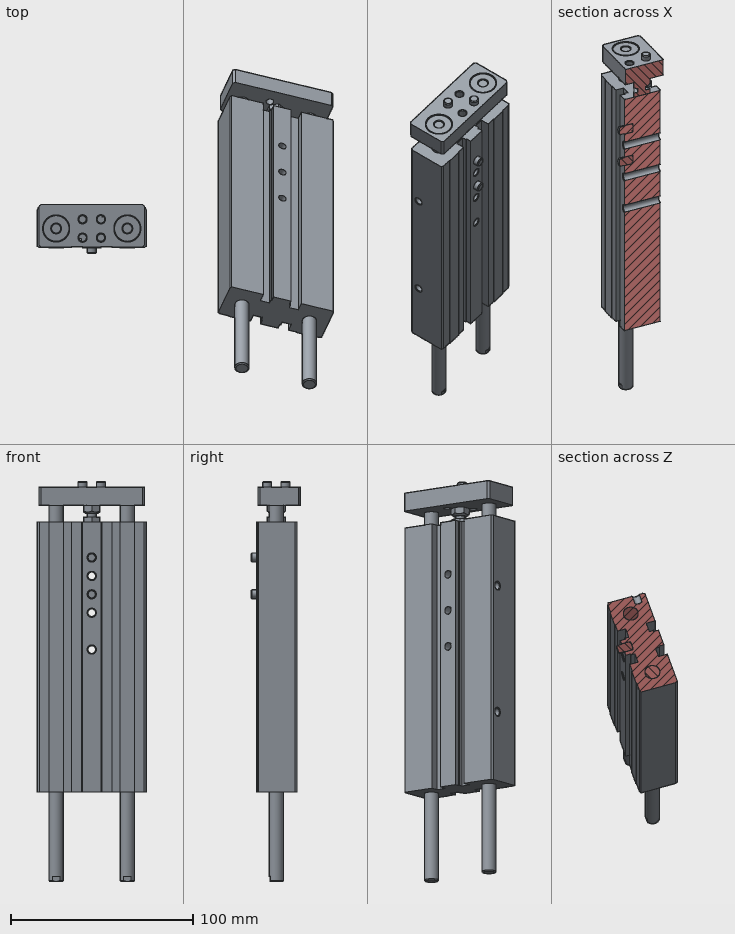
import cadquery as cq
import math

TOTAL_HEIGHT = 219.5
ROD_X = 19.5
ROD_XS = (-ROD_X, ROD_X)
PITCH = 10.0

PIN_DIA = 5.0
PIN_PROUD = 3.0
PIN_SEAT = 5.0
PIN_CHAMFER = 0.55

HOUSING_WIDTH = 60.0
HOUSING_BOTTOM = 49.1
HOUSING_TOP = 197.2
HOUSING_HEIGHT = HOUSING_TOP - HOUSING_BOTTOM
HOUSING_BACK = 11.5
RIB_FACE = -10.8
RIB_RISE = 0.33
HOUSING_FRONT = RIB_FACE + RIB_RISE
CORNER_LONG = 1.3
CORNER_SHORT = 0.61
SIDE_RIB_WIDTH = 8.0
SLOT_INNER = 5.0
SLOT_OUTER = 11.0
SLOT_STEP = 0.7
SLOT_MOUTH_DEPTH = 2.9
SLOT_DEPTH = 5.0

TAP_DIA = 4.2
TAP_CHAMFER = 0.5
TAP_RIM_DIA = TAP_DIA + 2 * TAP_CHAMFER
FIRST_HOLE_DROP = 19.5
FIRST_HOLE_Z = HOUSING_TOP - FIRST_HOLE_DROP
PIN_STEPS = (0, 2)
TAP_STEPS = (1, 3, 5)
PORT_Y = 6.1
PORT_ZS = (87.8, 158.5)
PORT_DEPTH = 5.0
DRILL_POINT_ANGLE = 118.0

PLATE_WIDTH = 58.0
PLATE_THICK = 10.0
PLATE_TOP = TOTAL_HEIGHT - PIN_PROUD
PLATE_BOTTOM = PLATE_TOP - PLATE_THICK
PLATE_BACK = 13.2
PLATE_FRONT = -10.0
PLATE_CHAMFER = 1.0
HEX_FLATS = 8.8
HEX_CORNERS = HEX_FLATS / math.cos(math.pi / 6)
UPPER_HEX_HEIGHT = 4.4
LOWER_HEX_HEIGHT = 2.6
HEX_CHAMFER_DIA = 6.8
HEX_CHAMFER_HEIGHT = 1.3
PISTON_DIA = 5.0

ROD_DIA = 8.0
ROD_CHAMFER = 0.7
HEAD_DIA = 14.0
HEAD_THICK = 5.0
HEAD_RIM_CHAMFER = 0.5
CENTRE_DIA = 5.0
CENTRE_DEPTH = 0.5
FLAT_HEIGHT = 2.9
FLAT_DEPTH = 0.55


def cylinder(x, y, z, diameter, length):
    """Upright cylinder standing on the point (x, y, z)."""
    return cq.Workplane("XY", origin=(x, y, z)).circle(diameter / 2).extrude(length)


def cone(x, y, z, bottom_dia, top_dia, height):
    """Upright cone frustum standing on the point (x, y, z)."""
    solid = cq.Solid.makeCone(bottom_dia / 2, top_dia / 2, height, cq.Vector(x, y, z))
    return cq.Workplane(obj=solid)


def box_between(x0, x1, y0, y1, z0, z1):
    """Box given by its limits along each axis."""
    return cq.Workplane("XY").box(x1 - x0, y1 - y0, z1 - z0, centered=False).translate((x0, y0, z0))


def front_cylinder(z, y, diameter, length):
    """Cylinder on the middle plane that runs from y toward +Y."""
    return cq.Workplane("XZ", origin=(0, y, z)).circle(diameter / 2).extrude(-length)


def make_pin():
    """Dowel pin along +Z with its outer end at z = PIN_PROUD and its hole rim at z = 0."""
    pin = cylinder(0, 0, -PIN_SEAT, PIN_DIA, PIN_SEAT + PIN_PROUD)
    return pin.faces(">Z or <Z").chamfer(PIN_CHAMFER)


def slot_pair(face_y, inward):
    """Two stepped slots beside the middle rib, cut from face_y in the inward Y direction."""
    mouth_y = face_y + inward * SLOT_MOUTH_DEPTH
    floor_y = face_y + inward * SLOT_DEPTH
    right = (
        cq.Workplane("XY", origin=(0, 0, HOUSING_BOTTOM))
        .moveTo(SLOT_INNER, face_y)
        .lineTo(SLOT_INNER, mouth_y)
        .lineTo(SLOT_INNER + SLOT_STEP, mouth_y)
        .lineTo(SLOT_INNER + SLOT_STEP, floor_y)
        .lineTo(SLOT_OUTER, floor_y)
        .lineTo(SLOT_OUTER, face_y)
        .close()
        .extrude(HOUSING_HEIGHT)
    )
    return right.union(right.mirror("YZ"))


def make_housing():
    half = HOUSING_WIDTH / 2
    right_side = [
        (half - CORNER_LONG, HOUSING_FRONT),
        (half, HOUSING_FRONT + CORNER_SHORT),
        (half, HOUSING_BACK - CORNER_LONG),
        (half - CORNER_SHORT, HOUSING_BACK),
    ]
    left_side = [(-x, y) for x, y in reversed(right_side)]
    body = cq.Workplane("XY", origin=(0, 0, HOUSING_BOTTOM))
    body = body.polyline(right_side + left_side).close().extrude(HOUSING_HEIGHT)

    ribs = [(-ROD_X, SIDE_RIB_WIDTH), (0, 2 * SLOT_INNER), (ROD_X, SIDE_RIB_WIDTH)]
    for x, width in ribs:
        x0 = x - width / 2
        body = body.union(box_between(x0, x0 + width, RIB_FACE, 0, HOUSING_BOTTOM, HOUSING_TOP))

    body = body.cut(slot_pair(RIB_FACE, 1)).cut(slot_pair(HOUSING_BACK, -1))

    for x in ROD_XS:
        body = body.cut(cylinder(x, 0, HOUSING_BOTTOM, ROD_DIA, HOUSING_HEIGHT))

    for step in PIN_STEPS:
        body = body.cut(front_cylinder(FIRST_HOLE_Z - step * PITCH, RIB_FACE, PIN_DIA, PIN_SEAT))
    for step in TAP_STEPS:
        z = FIRST_HOLE_Z - step * PITCH
        hole = front_cylinder(z, RIB_FACE, TAP_DIA, HOUSING_BACK - RIB_FACE)
        rim = cone(0, 0, 0, TAP_RIM_DIA, TAP_DIA, TAP_CHAMFER)
        rim = rim.rotate((0, 0, 0), (1, 0, 0), -90).translate((0, RIB_FACE, z))
        body = body.cut(hole).cut(rim)

    point_height = TAP_DIA / 2 / math.tan(math.radians(DRILL_POINT_ANGLE / 2))
    port = cylinder(0, 0, 0, TAP_DIA, PORT_DEPTH)
    port = port.union(cone(0, 0, PORT_DEPTH, TAP_DIA, 0, point_height))
    port = port.union(cone(0, 0, 0, TAP_RIM_DIA, TAP_DIA, TAP_CHAMFER))
    port = port.rotate((0, 0, 0), (0, 1, 0), 90)
    for z in PORT_ZS:
        body = body.cut(port.translate((-half, PORT_Y, z)))
    return body


def hexagon(z, height):
    """Upright hexagonal prism on the middle axis with corners toward +Y and -Y."""
    prism = cq.Workplane("XY").polygon(6, HEX_CORNERS).extrude(height)
    return prism.rotate((0, 0, 0), (0, 0, 1), 90).translate((0, 0, z))


def make_yoke():
    """Yoke plate together with the end of the piston rod that carries it."""
    half = PLATE_WIDTH / 2
    yoke = box_between(-half, half, PLATE_FRONT, PLATE_BACK, PLATE_BOTTOM, PLATE_TOP)
    yoke = yoke.edges("|Z").chamfer(PLATE_CHAMFER)

    rim_dia = HEAD_DIA + 2 * HEAD_RIM_CHAMFER
    for x in ROD_XS:
        yoke = yoke.cut(cylinder(x, 0, PLATE_BOTTOM, ROD_DIA, PLATE_THICK))
        yoke = yoke.cut(cylinder(x, 0, PLATE_TOP - HEAD_THICK, HEAD_DIA, HEAD_THICK))
        yoke = yoke.cut(cone(x, 0, PLATE_TOP - HEAD_RIM_CHAMFER, HEAD_DIA, rim_dia, HEAD_RIM_CHAMFER))

    for x in (-PITCH / 2, PITCH / 2):
        yoke = yoke.cut(cylinder(x, -x, PLATE_TOP - PIN_SEAT, PIN_DIA, PIN_SEAT))
        yoke = yoke.cut(cylinder(x, x, PLATE_BOTTOM, TAP_DIA, PLATE_THICK))
        yoke = yoke.cut(cone(x, x, PLATE_TOP - TAP_CHAMFER, TAP_DIA, TAP_RIM_DIA, TAP_CHAMFER))

    nut_bottom = PLATE_BOTTOM - UPPER_HEX_HEIGHT
    straight_height = UPPER_HEX_HEIGHT - HEX_CHAMFER_HEIGHT
    envelope = cone(0, 0, nut_bottom, HEX_CHAMFER_DIA, HEX_CORNERS, HEX_CHAMFER_HEIGHT)
    envelope = envelope.union(cylinder(0, 0, PLATE_BOTTOM - straight_height, HEX_CORNERS, straight_height))
    nut = hexagon(nut_bottom, UPPER_HEX_HEIGHT).intersect(envelope)
    neck = cylinder(0, 0, HOUSING_TOP, PISTON_DIA, PLATE_BOTTOM - HOUSING_TOP)
    return yoke.union(nut).union(neck).union(hexagon(HOUSING_TOP, LOWER_HEX_HEIGHT))


def make_rod(x):
    """Guide rod with a head flush with the yoke plate and a wrench flat at its lower end."""
    rod = cylinder(x, 0, 0, ROD_DIA, PLATE_TOP).faces("<Z").chamfer(ROD_CHAMFER)
    rod = rod.union(cylinder(x, 0, PLATE_TOP - HEAD_THICK, HEAD_DIA, HEAD_THICK))
    rim_dia = CENTRE_DIA + 2 * CENTRE_DEPTH
    rod = rod.cut(cone(x, 0, PLATE_TOP - CENTRE_DEPTH, CENTRE_DIA, rim_dia, CENTRE_DEPTH))
    radius = ROD_DIA / 2
    flat = box_between(x - radius, x + radius, -radius, FLAT_DEPTH - radius, 0, FLAT_HEIGHT)
    return rod.cut(flat)


housing = make_housing()
yoke = make_yoke()
rods = [make_rod(x) for x in ROD_XS]

plate_pins = [make_pin().translate((x, -x, PLATE_TOP)) for x in (-PITCH / 2, PITCH / 2)]
housing_pins = [
    make_pin().rotate((0, 0, 0), (1, 0, 0), 90).translate((0, RIB_FACE, FIRST_HOLE_Z - step * PITCH))
    for step in PIN_STEPS
]

bodies = [housing, yoke, *rods, *plate_pins, *housing_pins]
result = cq.Compound.makeCompound([body.val() for body in bodies])